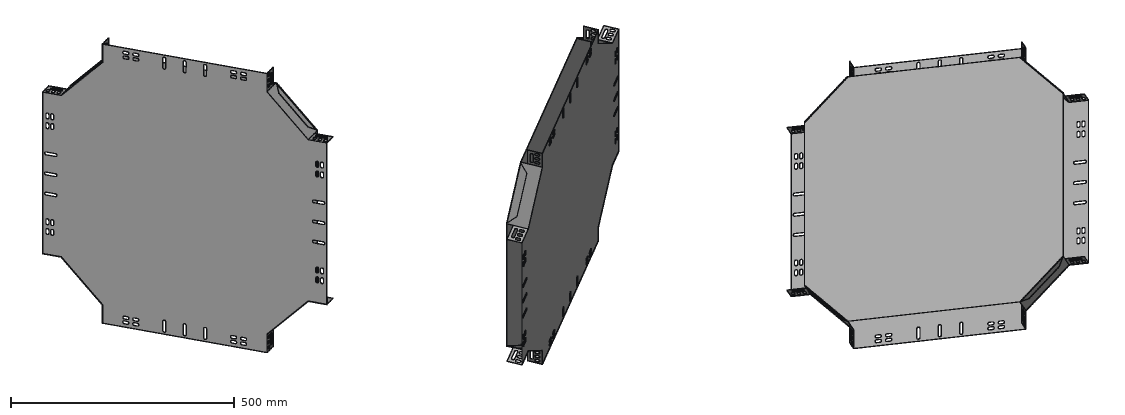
import cadquery as cq
import math

width = 691.0
depth = 52.0
sheet = 1.0

half = width / 2
opening_half = 200.5
strip_length = 45.0
shoulder = half - strip_length

slot_width = 7.0
long_slot_length = 30.0
long_slot_spacing = 50.0
long_slot_inset = 20.0
short_slot_length = 14.5
short_slot_offsets = (119.0, 143.0)
short_slot_insets = (12.0, 23.5)

tab_height = 36.0
tab_slot_length = 29.0
tab_slot_from_tip = 23.5
tab_slot_height = 25.5
tab_hole_length = 12.0
tab_hole_height = 12.5
tab_hole_first = 8.0
tab_hole_spacing = 13.0
tab_hole_count = 3

flap_depth = 20.0

lid_edge_half = opening_half + sheet * math.sqrt(2)

bend_shift = sheet * math.tan(math.radians(22.5))
quarter_turns = [90 * turn for turn in range(4)]


def turned(body, angle):
    """Turn a body about the Y axis through the middle of the part."""
    return body.rotate((0, 0, 0), (0, 1, 0), angle)


def layer(start):
    """Workplane with X across and Z up, at a distance behind the front face."""
    return cq.Workplane("XZ", origin=(0, start, 0))


def prism(points, start, end):
    """Extrude an X-Z outline from one Y position to another."""
    return layer(start).polyline(points).close().extrude(start - end)


def base_plate():
    """Square sheet with a notch and a 45 degree cut at each corner."""
    corner = [
        (-half, opening_half),
        (-shoulder, opening_half),
        (-opening_half, shoulder),
        (-opening_half, half),
    ]
    outline = corner + [(-x, z) for x, z in reversed(corner)]
    outline += [(-x, -z) for x, z in corner]
    outline += [(x, -z) for x, z in reversed(corner)]
    return prism(outline, 0, sheet)


def side_slots():
    """Slots along the upper side of the base."""
    long_places = [(i * long_slot_spacing, half - long_slot_inset) for i in (-1, 0, 1)]
    short_places = [
        (side * offset, half - inset)
        for side in (-1, 1)
        for offset in short_slot_offsets
        for inset in short_slot_insets
    ]
    long_slots = layer(0).pushPoints(long_places).slot2D(long_slot_length, slot_width, 90).extrude(-sheet)
    short_slots = layer(0).pushPoints(short_places).slot2D(short_slot_length, slot_width).extrude(-sheet)
    return long_slots.add(short_slots).combine()


def tab():
    """Slotted tab lying along the lower edge of the upper left notch."""
    tip = cq.Workplane("XY", origin=(-half, 0, opening_half))
    blank = tip.rect(strip_length + bend_shift, tab_height, centered=False).extrude(-sheet)
    slot = tip.center(tab_slot_from_tip, tab_slot_height).slot2D(tab_slot_length, slot_width).extrude(-sheet)
    hole_places = [
        (tab_hole_first + i * tab_hole_spacing, tab_hole_height) for i in range(tab_hole_count)
    ]
    holes = tip.pushPoints(hole_places).slot2D(tab_hole_length, slot_width, 90).extrude(-sheet)
    return blank.cut(slot).cut(holes)


def corner_wall():
    """Wall on the 45 degree edge at the upper left, with a tab at each end."""
    wall = prism(
        [
            (-shoulder, opening_half),
            (-opening_half, shoulder),
            (-opening_half + sheet, shoulder - bend_shift),
            (-shoulder + bend_shift, opening_half - sheet),
        ],
        0,
        depth - sheet,
    )
    side_tab = tab()
    top_tab = side_tab.mirror("XY").rotate((0, 0, 0), (0, 1, 0), 90)
    return wall.union(side_tab).union(top_tab)


def make_tray():
    """Base with four corner walls and their tabs."""
    tray = base_plate()
    for angle in quarter_turns:
        tray = tray.union(turned(corner_wall(), angle))
        tray = tray.cut(turned(side_slots(), angle))
    return tray


def corner_flap():
    """Tapered flap against the outside of the upper left wall."""
    middle = (shoulder + opening_half) / 2
    half_length = (shoulder - lid_edge_half) / math.sqrt(2)
    wall_face = cq.Plane(origin=(-middle, depth, middle), xDir=(1, 0, 1), normal=(-1, 0, 1))
    outline = [
        (-half_length, 0),
        (half_length, 0),
        (half_length - flap_depth, -flap_depth),
        (flap_depth - half_length, -flap_depth),
    ]
    return cq.Workplane(wall_face).polyline(outline).close().extrude(sheet)


def make_lid():
    """Octagonal sheet over the walls, with a flap at each corner."""
    outline = [
        (-shoulder, lid_edge_half),
        (-lid_edge_half, shoulder),
        (lid_edge_half, shoulder),
        (shoulder, lid_edge_half),
        (shoulder, -lid_edge_half),
        (lid_edge_half, -shoulder),
        (-lid_edge_half, -shoulder),
        (-shoulder, -lid_edge_half),
    ]
    lid = prism(outline, depth - sheet, depth)
    for angle in quarter_turns:
        lid = lid.union(turned(corner_flap(), angle))
    return lid


tray = make_tray()
lid = make_lid()
result = cq.Compound.makeCompound([tray.val(), lid.val()])